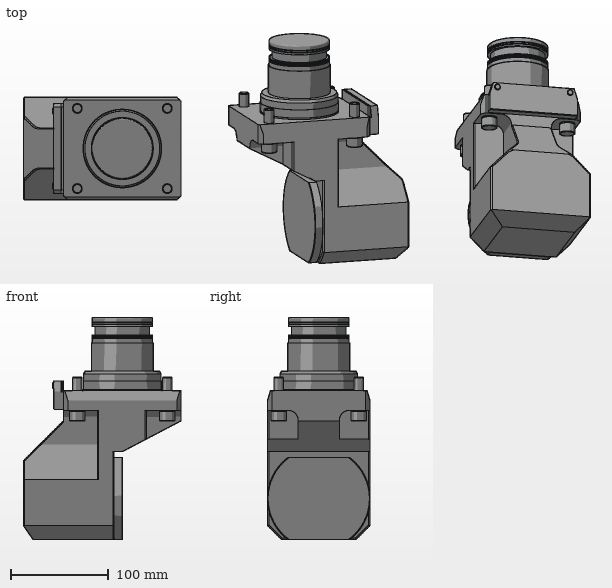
import cadquery as cq
import math


flange_length = 120.5
flange_width = 105.0
flange_thickness = 20.0
flange_corner_chamfer = 4.5
flange_bevel_height = 10.0
flange_bevel_inset = 3.0

body_end_x = -101.25
body_face_x = -8.25
body_bottom_z = -152.25
body_side_bevel = 14.5
body_end_bevel = 10.0
slope_top_z = -30.8
shelf_z = -62.25
shelf_end_x = 0.25
edge_chamfer = 1.5
slope_chamfer = 1.0
rear_wall_chamfer = 1.2

web_half_width = 21.0
pocket_radius = 10.5
pocket_shoulder_z = -91.0
rear_pocket_wall_x = -25.5
front_pocket_wall_x = 24.65

disc_radius = 52.5
disc_half_height = 42.0
disc_end_x = 0.25
disc_chamfer = 0.7

bolt_x = 46.0
bolt_y = 41.0
bolt_diameter = 10.0
bolt_top_z = 14.0
bolt_chamfer = 0.75
bolt_head_diameter = 16.0
bolt_head_length = 11.0
bolt_head_chamfer = 0.7
bolt_seat_diameter = 15.6
bolt_seat_thickness = 1.4

cover_thickness = 10.0
cover_strip_thickness = 1.7
cover_gap = 0.7
cover_half_width = 46.0
cover_top_half_width = 42.5
cover_top_z = 10.0
cover_taper_z = -1.3
cover_bottom_z = -19.2
cover_bottom_chamfer = 0.8
pin_diameter = 6.0
pin_chamfer = 0.5
pin_height = 1.0
pin_y = 38.2
pin_z = 5.4

collar_base_diameter = 80.5
collar_base_top_z = 1.5
collar_ring_diameter = 80.0
collar_ring_top_z = 10.0
collar_diameter = 79.5
collar_chamfer_z = 17.0
collar_top_z = 20.0
collar_chamfer_inset = 1.5
barrel_diameter = 63.5
barrel_top_z = 48.7
land_diameter = 62.0
land_top_z = 57.0
land_groove_diameter = 59.8
land_groove_width = 0.6
land_groove_bottoms = (53.3, 54.5, 55.7)
neck_diameter = 56.0
neck_top_z = 65.6
cap_diameter = 62.0
cap_top_z = 75.0
cap_fillet = 1.5
cap_groove_diameter = 60.5
cap_groove_width = 0.5
cap_groove_bottoms = (67.6, 69.7)
groove_clearance = 10.0


def cylinder(diameter, bottom_z, top_z):
    """Upright cylinder on the Z axis."""
    return cq.Workplane("XY").workplane(offset=bottom_z).circle(diameter / 2).extrude(top_z - bottom_z)


def ring_groove(core_diameter, bottom_z, width):
    """Ring that cuts a groove down to the core diameter."""
    outer_diameter = core_diameter + groove_clearance
    ring = cq.Workplane("XY").workplane(offset=bottom_z)
    return ring.circle(outer_diameter / 2).circle(core_diameter / 2).extrude(width)


def make_flange():
    half_width = flange_width / 2
    section = (
        cq.Workplane("YZ")
        .workplane(offset=-flange_length / 2)
        .moveTo(-half_width, -flange_thickness)
        .lineTo(half_width, -flange_thickness)
        .lineTo(half_width, -flange_bevel_height)
        .lineTo(half_width - flange_bevel_inset, 0)
        .lineTo(-half_width + flange_bevel_inset, 0)
        .lineTo(-half_width, -flange_bevel_height)
        .close()
        .extrude(flange_length)
    )
    plan = (
        cq.Workplane("XY")
        .workplane(offset=-flange_thickness)
        .rect(flange_length, flange_width)
        .extrude(flange_thickness)
        .edges("|Z")
        .chamfer(flange_corner_chamfer)
    )
    return section.intersect(plan)


def pocket(side, start_x, end_x):
    """Pocket beside the web; side is +1 or -1 in Y."""
    diagonal = math.cos(math.radians(45))
    outer = flange_width / 2
    top = -flange_thickness
    bend_y = web_half_width + pocket_radius * (1 - diagonal)
    bend_z = pocket_shoulder_z + outer - bend_y
    web_end_z = bend_z + pocket_radius * diagonal
    half_bend = math.radians(22.5)
    middle_y = web_half_width + pocket_radius * (1 - math.cos(half_bend))
    middle_z = web_end_z - pocket_radius * math.sin(half_bend)
    flare_z = top - pocket_radius * (1 - diagonal)
    return (
        cq.Workplane("YZ")
        .workplane(offset=start_x)
        .moveTo(side * outer, top)
        .lineTo(side * (web_half_width + pocket_radius), top)
        .threePointArc((side * bend_y, flare_z), (side * web_half_width, top - pocket_radius))
        .lineTo(side * web_half_width, web_end_z)
        .threePointArc((side * middle_y, middle_z), (side * bend_y, bend_z))
        .lineTo(side * outer, pocket_shoulder_z)
        .close()
        .extrude(end_x - start_x)
    )


def make_body():
    half_length = flange_length / 2
    slope_bottom_z = slope_top_z - (-half_length - body_end_x)
    body = (
        cq.Workplane("XZ")
        .workplane(offset=-flange_width / 2)
        .moveTo(-half_length, -flange_thickness)
        .lineTo(half_length, -flange_thickness)
        .lineTo(half_length, slope_top_z)
        .lineTo(shelf_end_x, shelf_z)
        .lineTo(body_face_x, shelf_z)
        .lineTo(body_face_x, body_bottom_z)
        .lineTo(body_end_x + body_end_bevel, body_bottom_z)
        .lineTo(body_end_x, body_bottom_z + body_side_bevel)
        .lineTo(body_end_x, slope_bottom_z)
        .lineTo(-half_length, slope_top_z)
        .close()
        .extrude(flange_width)
    )
    body = body.edges("|X and <Z").chamfer(body_side_bevel)
    for side in (-1, 1):
        body = body.cut(pocket(side, body_end_x, rear_pocket_wall_x))
        body = body.cut(pocket(side, front_pocket_wall_x, half_length))
    return chamfer_body(body)


def chamfer_body(body):
    """Break the rear outline, the outer corners of the pocket walls and the edges around the disc face."""
    half_width = flange_width / 2
    slope_face = cq.selectors.BoxSelector(
        (body_end_x + 1, -1, shelf_z), (-flange_length / 2 - 1, 1, slope_top_z - 1)
    )
    body = body.faces(slope_face).edges("not |Y").chamfer(slope_chamfer)
    body = body.faces("<X").edges("not |Y").chamfer(edge_chamfer)
    wall_chamfers = ((rear_pocket_wall_x, rear_wall_chamfer), (front_pocket_wall_x, edge_chamfer))
    for wall_x, chamfer_size in wall_chamfers:
        wall_box = cq.selectors.BoxSelector(
            (wall_x - 1, -half_width - 1, pocket_shoulder_z),
            (wall_x + 1, half_width + 1, -flange_thickness),
        )
        for outermost in (">Y", "<Y"):
            wall_corner = body.edges(wall_box).edges("|Z").edges(outermost)
            body = wall_corner.chamfer(chamfer_size)
    disc_face = cq.selectors.BoxSelector(
        (body_face_x - 1, -1, body_bottom_z + 1), (body_face_x + 1, 1, shelf_z - 1)
    )
    return body.faces(disc_face).edges("not(|Y and >Z)").chamfer(edge_chamfer)


def make_disc():
    length = disc_end_x - body_face_x
    center_z = body_bottom_z + disc_half_height
    disc = cq.Workplane("YZ").workplane(offset=body_face_x).center(0, center_z)
    disc = disc.circle(disc_radius).extrude(length).faces(">X").chamfer(disc_chamfer)
    flats = cq.Workplane("YZ").workplane(offset=body_face_x).center(0, center_z)
    return disc.intersect(flats.rect(2 * disc_radius, 2 * disc_half_height).extrude(length))


def make_bolt(x, y):
    head_bottom_z = -flange_thickness - bolt_head_length
    shank = cylinder(bolt_diameter, -flange_thickness, bolt_top_z).faces(">Z").chamfer(bolt_chamfer)
    seat_bottom_z = -flange_thickness - bolt_seat_thickness
    head = cylinder(bolt_head_diameter, head_bottom_z, seat_bottom_z)
    head = head.faces("<Z").chamfer(bolt_head_chamfer)
    seat = cylinder(bolt_seat_diameter, seat_bottom_z, -flange_thickness)
    return shank.union(seat).union(head).translate((x, y, 0))


def make_cover():
    flange_end_x = -flange_length / 2
    outer_x = flange_end_x - cover_thickness
    plate = (
        cq.Workplane("YZ")
        .workplane(offset=outer_x)
        .moveTo(-cover_half_width, cover_bottom_z)
        .lineTo(cover_half_width, cover_bottom_z)
        .lineTo(cover_half_width, cover_taper_z)
        .lineTo(cover_top_half_width, cover_top_z)
        .lineTo(-cover_top_half_width, cover_top_z)
        .lineTo(-cover_half_width, cover_taper_z)
        .close()
        .extrude(cover_thickness)
    )
    plate = plate.edges("<X and <Z").chamfer(cover_bottom_chamfer)
    for side in (-1, 1):
        end_width = cover_half_width - cover_top_half_width
        end_block = cq.Workplane("XY").box(
            cover_strip_thickness, end_width, cover_top_z - cover_taper_z
        ).translate((
            flange_end_x - cover_strip_thickness / 2,
            side * (cover_top_half_width + end_width / 2),
            (cover_top_z + cover_taper_z) / 2,
        ))
        plate = plate.cut(end_block)
    strip_x = flange_end_x - cover_strip_thickness
    gap = cq.Workplane("XY").box(cover_gap, 2 * cover_half_width, cover_top_z - cover_taper_z)
    plate = plate.cut(gap.translate((strip_x - cover_gap / 2, 0, (cover_top_z + cover_taper_z) / 2)))
    pins = (
        cq.Workplane("YZ")
        .workplane(offset=outer_x - pin_height)
        .pushPoints([(-pin_y, pin_z), (pin_y, pin_z)])
        .circle(pin_diameter / 2)
        .extrude(pin_height)
        .faces("<X")
        .chamfer(pin_chamfer)
    )
    return plate.union(pins)


def make_spigot():
    collar = cylinder(collar_diameter, collar_ring_top_z, collar_top_z)
    collar = collar.faces(">Z").edges().chamfer(collar_top_z - collar_chamfer_z, collar_chamfer_inset)
    spigot = (
        cylinder(collar_base_diameter, 0, collar_base_top_z)
        .union(cylinder(collar_ring_diameter, collar_base_top_z, collar_ring_top_z))
        .union(collar)
        .union(cylinder(barrel_diameter, collar_top_z, barrel_top_z))
        .union(cylinder(land_diameter, barrel_top_z, land_top_z))
        .union(cylinder(neck_diameter, land_top_z, neck_top_z))
        .union(cylinder(cap_diameter, neck_top_z, cap_top_z).faces(">Z").edges().fillet(cap_fillet))
    )
    for bottom_z in land_groove_bottoms:
        spigot = spigot.cut(ring_groove(land_groove_diameter, bottom_z, land_groove_width))
    for bottom_z in cap_groove_bottoms:
        spigot = spigot.cut(ring_groove(cap_groove_diameter, bottom_z, cap_groove_width))
    return spigot


result = make_body().union(make_flange()).union(make_disc()).union(make_cover()).union(make_spigot())
for x in (-bolt_x, bolt_x):
    for y in (-bolt_y, bolt_y):
        result = result.union(make_bolt(x, y))